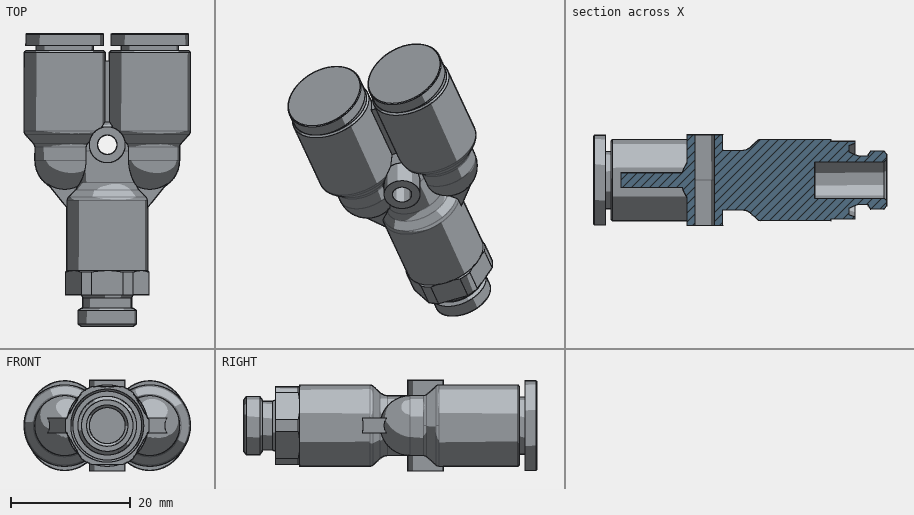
import cadquery as cq
import math


branch_offset = 7.1
body_radius = 6.8
neck_radius = 5.0
end_chamfer = 0.3
corner_fillet = 0.8

ring_top = 18.55
ring_length = 2.0
ring_half_width = 6.5
ring_half_height = 7.5
ring_edge_chamfer = 0.15
collar_radius = 4.8
sleeve_top = 15.7
sleeve_bottom = 1.95
branch_neck_top = -0.05
dome_center = -2.6

stem_neck_top = -1.05
stem_neck_bottom = -7.05
stem_neck_fillet = 1.8
stem_body_top = -8.97

hex_top = -21.0
hex_bottom = -25.05
hex_across_flats = 13.0
hex_corner_radius = 7.0
hex_corner_bevel = 0.25
recess_mouth_radius = 6.1
recess_floor_radius = 5.75
recess_depth = 1.0

plug_bottom = -30.35
plug_radius = 4.9
plug_neck_radius = 4.1
plug_root_radius = 4.75
plug_neck_top = -25.55
plug_head_length = 3.1
plug_shoulder_bevel = 0.4
plug_shoulder_base = 4.3
plug_end_chamfer_width = 0.6
plug_end_chamfer_length = 0.45
bore_radius = 3.0
bore_chamfer = 0.45
bore_depth = 12.0

boss_radius = 3.0
boss_height = 15.2
hole_radius = 1.6
plate_thickness = 2.5
web_top = 14.0
rib_outer_x = 10.3
rib_outer_y = -6.07
rib_inner_x = 6.7
rib_inner_y = -10.55


def turned(points):
    """Solid turned about the Y axis from (radius, y) points."""
    return cq.Workplane("XY").polyline(points).close().revolve(360, (0, 0, 0), (0, 1, 0))


def round_corner(solid, y, radius):
    """Fillet the circular edge whose centre is on the Y axis at y."""
    return solid.edges(cq.selectors.NearestToPointSelector((0, y, 0))).fillet(radius)


def make_dome(y, direction):
    """Hemisphere with the neck radius, bulging from y along +Y (1) or -Y (-1)."""
    middle = neck_radius * math.sqrt(0.5)
    return (
        cq.Workplane("XY")
        .moveTo(0, y)
        .lineTo(neck_radius, y)
        .threePointArc((middle, y + direction * middle), (0, y + direction * neck_radius))
        .close()
        .revolve(360, (0, 0, 0), (0, 1, 0))
    )


def make_branch():
    """One tube branch on the Y axis: release ring, sleeve, neck and dome."""
    sleeve = turned([
        (0, sleeve_top),
        (body_radius - end_chamfer, sleeve_top),
        (body_radius, sleeve_top - end_chamfer),
        (body_radius, sleeve_bottom),
        (neck_radius, branch_neck_top),
        (neck_radius, dome_center),
        (0, dome_center),
    ])
    sleeve = round_corner(sleeve, sleeve_bottom, corner_fillet)
    sleeve = round_corner(sleeve, branch_neck_top, corner_fillet)
    dome = make_dome(dome_center, -1)
    collar = (
        cq.Workplane("XZ", origin=(0, ring_top, 0))
        .circle(collar_radius)
        .extrude(ring_top - sleeve_bottom)
    )
    ring = (
        cq.Workplane("XZ", origin=(0, ring_top, 0))
        .ellipse(ring_half_width, ring_half_height)
        .extrude(ring_length)
        .faces(">Y")
        .edges()
        .chamfer(ring_edge_chamfer)
    )
    return sleeve.union(dome).union(collar).union(ring)


def make_stem_body():
    """Stem neck widening to the sleeve that carries the hexagon."""
    body = turned([
        (0, stem_neck_top),
        (neck_radius, stem_neck_top),
        (neck_radius, stem_neck_bottom),
        (body_radius, stem_body_top),
        (body_radius, hex_top),
        (0, hex_top),
    ])
    body = round_corner(body, stem_neck_bottom, stem_neck_fillet)
    body = round_corner(body, stem_body_top, corner_fillet)
    return body.union(make_dome(stem_neck_top, 1))


def make_hexagon():
    """Hexagon with turned corners and a conical recess around the plug."""
    corner_diameter = hex_across_flats / math.cos(math.pi / 6)
    hexagon = (
        cq.Workplane("XZ", origin=(0, hex_top, 0))
        .polygon(6, corner_diameter)
        .extrude(hex_top - hex_bottom)
    )
    envelope = turned([
        (0, hex_top),
        (hex_across_flats / 2, hex_top),
        (hex_corner_radius, hex_top - hex_corner_bevel),
        (hex_corner_radius, hex_bottom),
        (0, hex_bottom),
    ])
    recess_floor = hex_bottom + recess_depth
    recess = turned([
        (0, recess_floor),
        (recess_floor_radius, recess_floor),
        (recess_mouth_radius, hex_bottom),
        (0, hex_bottom),
    ])
    return hexagon.intersect(envelope).cut(recess)


def make_plug():
    """Grooved plug standing on the floor of the hexagon recess."""
    root = hex_bottom + recess_depth
    head_top = plug_bottom + plug_head_length - plug_shoulder_bevel
    return turned([
        (0, root),
        (plug_root_radius, root),
        (plug_neck_radius, plug_neck_top),
        (plug_neck_radius, head_top + plug_shoulder_bevel),
        (plug_shoulder_base, head_top + plug_shoulder_bevel),
        (plug_radius, head_top),
        (plug_radius, plug_bottom + plug_end_chamfer_length),
        (plug_radius - plug_end_chamfer_width, plug_bottom),
        (0, plug_bottom),
    ])


def make_bore():
    """Blind bore of the plug with a chamfered mouth."""
    return turned([
        (0, plug_bottom),
        (bore_radius + bore_chamfer, plug_bottom),
        (bore_radius, plug_bottom + bore_chamfer),
        (bore_radius, plug_bottom + bore_depth),
        (0, plug_bottom + bore_depth),
    ])


def make_plate():
    """Flat plate: web between the branches and ribs down to the stem."""
    half_outline = [
        (0, web_top),
        (branch_offset, web_top),
        (branch_offset, dome_center),
        (rib_outer_x, rib_outer_y),
        (rib_inner_x, rib_inner_y),
        (0, rib_inner_y),
    ]
    half = (
        cq.Workplane("XY", origin=(0, 0, -plate_thickness / 2))
        .polyline(half_outline)
        .close()
        .extrude(plate_thickness)
    )
    return half.union(half.mirror("YZ"))


def z_cylinder(radius, height):
    """Cylinder along Z centred on the origin."""
    return cq.Workplane("XY").circle(radius).extrude(height / 2, both=True)


branch = make_branch()
result = make_plate()
for side in (-1, 1):
    result = result.union(branch.translate((side * branch_offset, 0, 0)))
for section in (make_stem_body(), make_hexagon(), make_plug(), z_cylinder(boss_radius, boss_height)):
    result = result.union(section)
result = result.cut(make_bore()).cut(z_cylinder(hole_radius, boss_height))